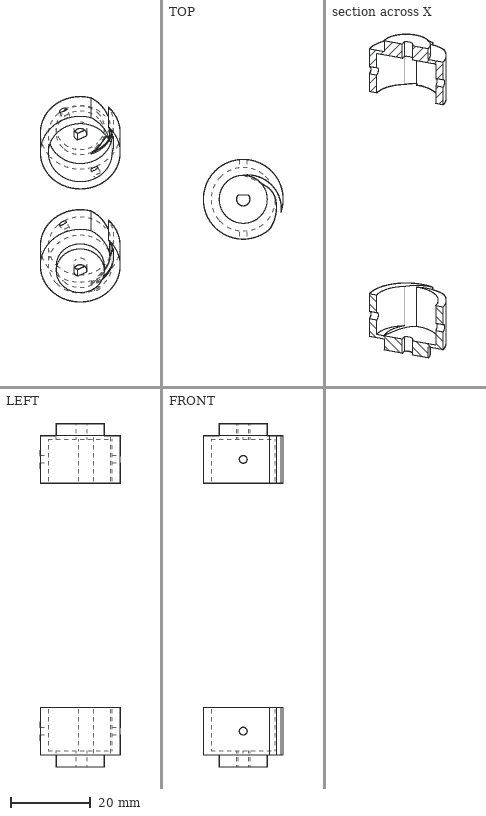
import cadquery as cq
import math

TOTAL_HEIGHT = 86.0

DRUM_DIAMETER = 20.0
DRUM_HEIGHT = 11.95
CAVITY_DIAMETER = 16.0
FLOOR_THICKNESS = 1.0
CAVITY_DEPTH = DRUM_HEIGHT - FLOOR_THICKNESS

HUB_DIAMETER = 12.0
HUB_HEIGHT = 3.0
BORE_DIAMETER = 3.3
BORE_FLAT_OFFSET = 1.0

PIN_HOLE_DIAMETER = 1.9

SLOT_START = (0.0, HUB_DIAMETER / 2)
SLOT_INNER_POINTS = [(4.65, 3.95), (7.5, 1.55), (8.3, -2.15)]
SLOT_INNER_END_X = 6.6
SLOT_OUTER_MIDDLE = (7.05, 3.6)
HOOK_TIP_X = 9.5
SLOT_CLEARANCE_RADIUS = DRUM_DIAMETER


def point_on_lower_rim(x):
    """Point of the drum's outer circle at x, on the -Y side."""
    return (x, -math.sqrt((DRUM_DIAMETER / 2) ** 2 - x**2))


def scaled_to_radius(point, radius):
    """Point in the same direction from the axis, at the given radius."""
    factor = radius / math.hypot(*point)
    return (point[0] * factor, point[1] * factor)


def make_slot_cutter():
    """Space between the drum's inner curve and the hook, open past the rim."""
    inner_end = point_on_lower_rim(SLOT_INNER_END_X)
    hook_tip = point_on_lower_rim(HOOK_TIP_X)
    return (
        cq.Workplane("XY")
        .moveTo(*SLOT_START)
        .spline([*SLOT_INNER_POINTS, inner_end], includeCurrent=True)
        .lineTo(*scaled_to_radius(inner_end, SLOT_CLEARANCE_RADIUS))
        .lineTo(*scaled_to_radius(hook_tip, SLOT_CLEARANCE_RADIUS))
        .lineTo(*hook_tip)
        .threePointArc(SLOT_OUTER_MIDDLE, SLOT_START)
        .close()
        .extrude(DRUM_HEIGHT)
    )


def make_shaft_bore():
    """Round bore with a flat on its +Y side, through floor and hub."""
    length = FLOOR_THICKNESS + HUB_HEIGHT
    round_bore = cq.Workplane("XY").circle(BORE_DIAMETER / 2).extrude(length)
    below_flat = (
        cq.Workplane("XY")
        .center(0, BORE_FLAT_OFFSET - BORE_DIAMETER / 2)
        .rect(BORE_DIAMETER, BORE_DIAMETER)
        .extrude(length)
    )
    return round_bore.intersect(below_flat).translate((0, 0, CAVITY_DEPTH))


def make_drum():
    """Drum with its open end at Z = 0 and its hub pointing up."""
    drum = cq.Workplane("XY").circle(DRUM_DIAMETER / 2).extrude(DRUM_HEIGHT)
    cavity = cq.Workplane("XY").circle(CAVITY_DIAMETER / 2).extrude(CAVITY_DEPTH)
    hub = (
        cq.Workplane("XY")
        .workplane(offset=DRUM_HEIGHT)
        .circle(HUB_DIAMETER / 2)
        .extrude(HUB_HEIGHT)
    )
    pin_hole = (
        cq.Workplane("XZ")
        .center(0, DRUM_HEIGHT / 2)
        .circle(PIN_HOLE_DIAMETER / 2)
        .extrude(DRUM_DIAMETER, both=True)
    )
    drum = drum.cut(cavity).cut(make_slot_cutter())
    return drum.union(hub).cut(make_shaft_bore()).cut(pin_hole)


open_end_z = TOTAL_HEIGHT / 2 - HUB_HEIGHT - DRUM_HEIGHT
upper_drum = make_drum().translate((0, 0, open_end_z))
drums = []
for drum in (upper_drum, upper_drum.mirror("XY")):
    drums.append(drum.val())

result = cq.Compound.makeCompound(drums)